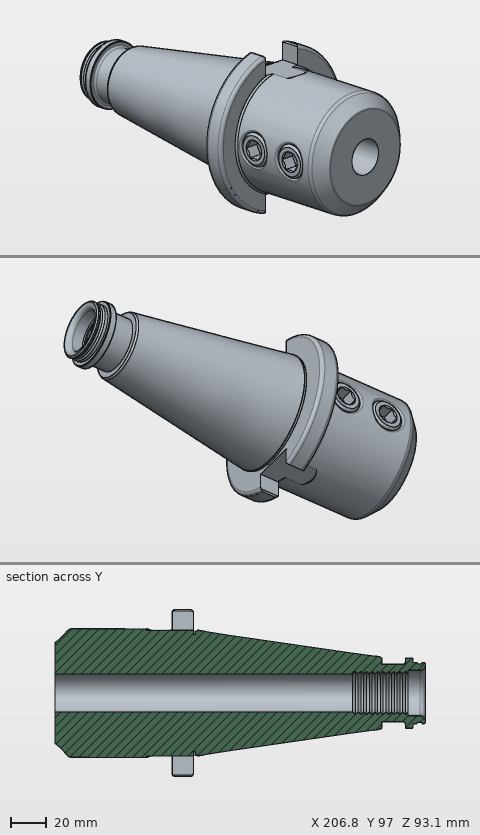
import cadquery as cq

OVERALL_LENGTH = 206.8

PICK_MARGIN = 0.02

KNOB_RADIUS = 17.2
KNOB_END_CHAMFER = 0.8
KNOB_GROOVE_RADIUS = 16.3
KNOB_GROOVE_START = 1.7
KNOB_GROOVE_SIDE = 1.0
KNOB_GROOVE_END = 5.2
COLLAR_START = 7.0
COLLAR_END = 11.4
COLLAR_RADIUS = 19.6
COLLAR_EDGE_CHAMFER = 0.5
COLLAR_ROOT_RADIUS = 1.2
NECK_RADIUS = 16.1

TAPER_START = 24.5
TAPER_END = 127.2
TAPER_LARGE_RADIUS = 35.2
TAPER_SLOPE = 7 / 24 / 2
TAPER_EDGE_CHAMFER_LENGTH = 1.2
TAPER_EDGE_CHAMFER_DEPTH = 0.6

BAND_END = 128.6
BAND_RADIUS = 34.7
UNDERCUT_RADIUS = 32.9

FLANGE_START = 129.5
FLANGE_END = 141.5
FLANGE_RADIUS = 48.5
FLANGE_EDGE_RADIUS = 2.0
FLANGE_ROOT_RADIUS = 1.0

HEAD_RADIUS = 36.0
HEAD_CHAMFER = 8.0
HEAD_CHAMFER_BLEND = 3.0
HEAD_END_BLEND = 0.8
FLAT_START = 154.5
FLAT_DISTANCE = 32.5
FLAT_RAMP_LENGTH = 2.3

SLOT_WIDTH = 25.6
SLOT_BOTTOM = 35.2
SLOT_END = 155.7
SLOT_EDGE_CHAMFER = 1.0

BORE_RADIUS = 10.5
MOUTH_BORE_RADIUS = 12.6
MOUTH_BORE_DEPTH = 9.7
MOUTH_FLARE_RADIUS = 3.0

THREAD_MAJOR_RADIUS = 12.0
THREAD_PITCH = 3.0
THREAD_TURNS = 10

SCREW_POSITIONS = (154.7, 182.6)
SCREW_RADIUS = 10.0
SCREW_CHAMFER = 1.5
SCREW_FACE = 35.5
SCREW_LENGTH = 20.7
HOLE_RIM_RADIUS = 1.0
SOCKET_WIDTH = 10.3
SOCKET_CORNER_RADIUS = SOCKET_WIDTH / 3 ** 0.5
SOCKET_DEPTH = 8.3
SOCKET_MOUTH_RADIUS = 6.0


def circles_at(part, x, radius):
    """Edges of a part that are circles around its axis at a given X and radius."""
    return part.edges("%CIRCLE").filter(
        lambda edge: abs(edge.Center().x - x) < PICK_MARGIN and abs(edge.radius() - radius) < PICK_MARGIN
    )


def radial_plane(screw_x, distance):
    """Plane at a distance from the axis on the -Y side, facing outwards."""
    return cq.Workplane("XZ", origin=(screw_x, -distance, 0))


def turned_blank():
    """Outside of the holder, revolved around X."""
    taper_small_radius = TAPER_LARGE_RADIUS - TAPER_SLOPE * (TAPER_END - TAPER_START)
    chamfer_radius = taper_small_radius + TAPER_SLOPE * TAPER_EDGE_CHAMFER_LENGTH
    profile = [
        (0, 0),
        (0, KNOB_RADIUS - KNOB_END_CHAMFER),
        (KNOB_END_CHAMFER, KNOB_RADIUS),
        (KNOB_GROOVE_START, KNOB_RADIUS),
        (KNOB_GROOVE_START + KNOB_GROOVE_SIDE, KNOB_GROOVE_RADIUS),
        (KNOB_GROOVE_END - KNOB_GROOVE_SIDE, KNOB_GROOVE_RADIUS),
        (KNOB_GROOVE_END, KNOB_RADIUS),
        (COLLAR_START, KNOB_RADIUS),
        (COLLAR_START, COLLAR_RADIUS - COLLAR_EDGE_CHAMFER),
        (COLLAR_START + COLLAR_EDGE_CHAMFER, COLLAR_RADIUS),
        (COLLAR_END - COLLAR_EDGE_CHAMFER, COLLAR_RADIUS),
        (COLLAR_END, COLLAR_RADIUS - COLLAR_EDGE_CHAMFER),
        (COLLAR_END, NECK_RADIUS),
        (TAPER_START, NECK_RADIUS),
        (TAPER_START, taper_small_radius - TAPER_EDGE_CHAMFER_DEPTH),
        (TAPER_START + TAPER_EDGE_CHAMFER_LENGTH, chamfer_radius),
        (TAPER_END, TAPER_LARGE_RADIUS),
        (TAPER_END, BAND_RADIUS),
        (BAND_END, BAND_RADIUS),
        (BAND_END, UNDERCUT_RADIUS),
        (FLANGE_START, UNDERCUT_RADIUS),
        (FLANGE_START, FLANGE_RADIUS),
        (FLANGE_END, FLANGE_RADIUS),
        (FLANGE_END, HEAD_RADIUS),
        (OVERALL_LENGTH - HEAD_CHAMFER, HEAD_RADIUS),
        (OVERALL_LENGTH, HEAD_RADIUS - HEAD_CHAMFER),
        (OVERALL_LENGTH, 0),
    ]
    blank = cq.Workplane("XY").polyline(profile).close().revolve(360, (0, 0, 0), (1, 0, 0))

    for x, radius, blend in (
        (COLLAR_END, NECK_RADIUS, COLLAR_ROOT_RADIUS),
        (FLANGE_START, FLANGE_RADIUS, FLANGE_EDGE_RADIUS),
        (FLANGE_END, FLANGE_RADIUS, FLANGE_EDGE_RADIUS),
        (FLANGE_END, HEAD_RADIUS, FLANGE_ROOT_RADIUS),
        (OVERALL_LENGTH - HEAD_CHAMFER, HEAD_RADIUS, HEAD_CHAMFER_BLEND),
        (OVERALL_LENGTH, HEAD_RADIUS - HEAD_CHAMFER, HEAD_END_BLEND),
    ):
        blank = circles_at(blank, x, radius).fillet(blend)
    return blank


def bore():
    """Through bore, its wider mouth and the rounded flare at the knob end."""
    through = cq.Workplane("YZ").circle(BORE_RADIUS).extrude(OVERALL_LENGTH)
    flare_radius = MOUTH_BORE_RADIUS + MOUTH_FLARE_RADIUS
    arc_inset = MOUTH_FLARE_RADIUS * (1 - 0.5 ** 0.5)
    arc_middle = (arc_inset, MOUTH_BORE_RADIUS + arc_inset)
    arc_end = (MOUTH_FLARE_RADIUS, MOUTH_BORE_RADIUS)
    mouth = (
        cq.Workplane("XY")
        .lineTo(0, flare_radius)
        .threePointArc(arc_middle, arc_end)
        .lineTo(MOUTH_BORE_DEPTH, MOUTH_BORE_RADIUS)
        .lineTo(MOUTH_BORE_DEPTH, 0)
        .close()
        .revolve(360, (0, 0, 0), (1, 0, 0))
    )
    return through.union(mouth)


def thread_grooves():
    """Row of V grooves inside the bore, one per thread turn."""
    profile = cq.Workplane("XY").moveTo(MOUTH_BORE_DEPTH, 0).lineTo(MOUTH_BORE_DEPTH, BORE_RADIUS)
    for turn in range(THREAD_TURNS):
        turn_start = MOUTH_BORE_DEPTH + turn * THREAD_PITCH
        profile = profile.lineTo(turn_start + THREAD_PITCH / 2, THREAD_MAJOR_RADIUS)
        profile = profile.lineTo(turn_start + THREAD_PITCH, BORE_RADIUS)
    thread_end = MOUTH_BORE_DEPTH + THREAD_TURNS * THREAD_PITCH
    return profile.lineTo(thread_end, 0).close().revolve(360, (0, 0, 0), (1, 0, 0))


def drive_slot():
    """Slot on the +Z side, round at the head end and bevelled at the flange rim."""
    end_radius = SLOT_WIDTH / 2
    straight_length = SLOT_END - end_radius - TAPER_END
    height = FLANGE_RADIUS - SLOT_BOTTOM
    plane = cq.Workplane("XY", origin=(TAPER_END, 0, SLOT_BOTTOM))
    straight = plane.rect(straight_length, SLOT_WIDTH, centered=(False, True)).extrude(height)
    round_end = plane.center(straight_length, 0).circle(end_radius).extrude(height)
    wall_top = (FLANGE_RADIUS ** 2 - end_radius ** 2) ** 0.5
    bevel_start = wall_top - SLOT_EDGE_CHAMFER
    bevel_rise = FLANGE_RADIUS - bevel_start
    bevel = (
        cq.Workplane("YZ", origin=(TAPER_END, 0, 0))
        .moveTo(end_radius, bevel_start)
        .lineTo(end_radius + bevel_rise, FLANGE_RADIUS)
        .lineTo(-end_radius - bevel_rise, FLANGE_RADIUS)
        .lineTo(-end_radius, bevel_start)
        .close()
        .extrude(straight_length)
    )
    return straight.union(round_end).union(bevel)


def back_flat():
    """Material outside the flat on the +Y side, with its sloping run-in."""
    return (
        cq.Workplane("XY", origin=(0, 0, -HEAD_RADIUS))
        .moveTo(FLAT_START, FLAT_DISTANCE)
        .lineTo(OVERALL_LENGTH, FLAT_DISTANCE)
        .lineTo(OVERALL_LENGTH, HEAD_RADIUS)
        .lineTo(FLAT_START - FLAT_RAMP_LENGTH, HEAD_RADIUS)
        .close()
        .extrude(2 * HEAD_RADIUS)
    )


def screw_hole(screw_x):
    """Hole for a clamping screw."""
    bottom = SCREW_FACE - SCREW_LENGTH
    return radial_plane(screw_x, bottom).circle(SCREW_RADIUS).extrude(HEAD_RADIUS - bottom)


def hole_rim(screw_x):
    """Selector for the outer edge of a screw hole."""
    rim_inner_distance = (HEAD_RADIUS ** 2 - SCREW_RADIUS ** 2) ** 0.5
    return cq.selectors.BoxSelector(
        (screw_x - SCREW_RADIUS, -HEAD_RADIUS, -SCREW_RADIUS),
        (screw_x + SCREW_RADIUS, -rim_inner_distance, SCREW_RADIUS),
    )


def make_housing():
    """Tool holder body with its slots, flat, bore and screw holes."""
    housing = turned_blank().cut(bore()).cut(thread_grooves()).cut(back_flat())
    slot = drive_slot()
    housing = housing.cut(slot).cut(slot.mirror("XY"))
    for screw_x in SCREW_POSITIONS:
        housing = housing.cut(screw_hole(screw_x))
        housing = housing.edges(hole_rim(screw_x)).fillet(HOLE_RIM_RADIUS)
    return housing


def make_screw(screw_x):
    """Headless clamping screw with a countersunk hexagon socket."""
    body = radial_plane(screw_x, SCREW_FACE - SCREW_LENGTH).circle(SCREW_RADIUS).extrude(SCREW_LENGTH)
    body = body.faces("<Y").chamfer(SCREW_CHAMFER)
    socket = (
        radial_plane(screw_x, SCREW_FACE - SOCKET_DEPTH)
        .polygon(6, 2 * SOCKET_CORNER_RADIUS)
        .extrude(SOCKET_DEPTH)
    )
    countersink = cq.Workplane(
        cq.Solid.makeCone(
            SOCKET_MOUTH_RADIUS,
            0,
            SOCKET_MOUTH_RADIUS,
            cq.Vector(screw_x, -SCREW_FACE, 0),
            cq.Vector(0, 1, 0),
        )
    )
    return body.cut(socket).cut(countersink)


housing = make_housing()
screws = [make_screw(screw_x) for screw_x in SCREW_POSITIONS]
result = cq.Compound.makeCompound([housing.val(), *[screw.val() for screw in screws]])